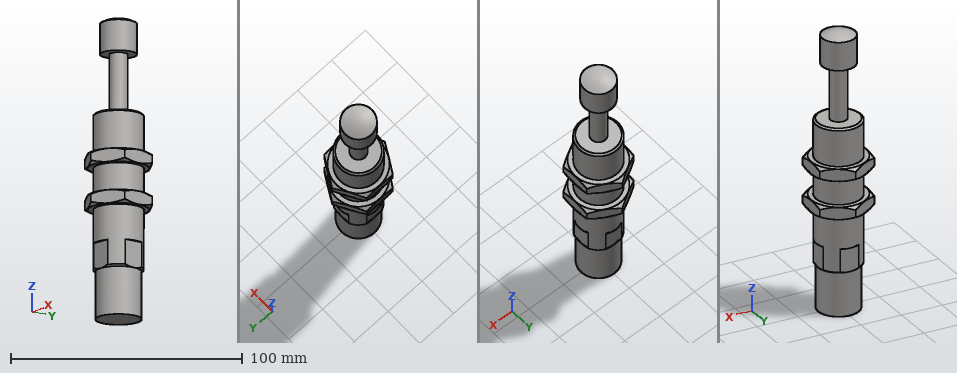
import cadquery as cq
import math

total_height = 133.5
sleeve_diameter = 20.0
barrel_diameter = 22.0
barrel_bottom = 21.2
barrel_top = 91.0
barrel_end_diameter = 20.0
barrel_chamfer_height = 0.8
rod_diameter = 8.0
cap_diameter = 16.0
cap_bottom = 117.7
dome_height = 2.1

flat_across = 20.0
flat_top = 33.1

nut_across_flats = 27.0
nut_height = 6.0
nut_face_diameter = 26.7
nut_corner_angle = 30.0
nut_chamfer_angle = 30.0
nut_bottoms = [48.6, 67.0]


def make_profile():
    """Revolved outline of the absorber, in the XZ plane."""
    barrel_radius = barrel_diameter / 2
    barrel_end_radius = barrel_end_diameter / 2
    sleeve_radius = sleeve_diameter / 2
    rod_radius = rod_diameter / 2
    cap_radius = cap_diameter / 2
    dome_bottom = total_height - dome_height
    dome_radius = (cap_radius**2 + dome_height**2) / (2 * dome_height)
    dome_mid_x = cap_radius / 2
    dome_mid_z = total_height - dome_radius + math.sqrt(dome_radius**2 - dome_mid_x**2)
    return (
        cq.Workplane("XZ")
        .lineTo(sleeve_radius, 0)
        .lineTo(sleeve_radius, barrel_bottom)
        .lineTo(barrel_radius, barrel_bottom + barrel_chamfer_height)
        .lineTo(barrel_radius, barrel_top - barrel_chamfer_height)
        .lineTo(barrel_end_radius, barrel_top)
        .lineTo(rod_radius, barrel_top)
        .lineTo(rod_radius, cap_bottom)
        .lineTo(cap_radius, cap_bottom)
        .lineTo(cap_radius, dome_bottom)
        .threePointArc((dome_mid_x, dome_mid_z), (0, total_height))
        .close()
    )


def make_absorber():
    """Turned body, trimmed to a square across the wrench flats."""
    turned = make_profile().revolve(360, (0, 0, 0), (0, 1, 0))
    flat_trim = (
        cq.Workplane("XY")
        .workplane(offset=barrel_bottom)
        .rect(2 * barrel_diameter, 2 * barrel_diameter)
        .rect(flat_across, flat_across)
        .extrude(flat_top - barrel_bottom)
    )
    return turned.cut(flat_trim)


def make_nut(bottom):
    """Hexagonal nut with both faces chamfered by a cone; corners point along Y."""
    corner_diameter = nut_across_flats / math.cos(math.radians(nut_corner_angle))
    corner_radius = corner_diameter / 2
    face_radius = nut_face_diameter / 2
    chamfer_drop = (corner_radius - face_radius) * math.tan(math.radians(nut_chamfer_angle))
    hexagon = (
        cq.Workplane("XY")
        .polygon(6, corner_diameter)
        .extrude(nut_height)
        .rotate((0, 0, 0), (0, 0, 1), nut_corner_angle)
    )
    chamfer_envelope = (
        cq.Workplane("XZ")
        .lineTo(face_radius, 0)
        .lineTo(corner_radius, chamfer_drop)
        .lineTo(corner_radius, nut_height - chamfer_drop)
        .lineTo(face_radius, nut_height)
        .lineTo(0, nut_height)
        .close()
        .revolve(360, (0, 0, 0), (0, 1, 0))
    )
    bore = cq.Workplane("XY").circle(barrel_diameter / 2).extrude(nut_height)
    return hexagon.intersect(chamfer_envelope).cut(bore).translate((0, 0, bottom))


absorber = make_absorber()
nuts = [make_nut(bottom) for bottom in nut_bottoms]

result = cq.Compound.makeCompound([absorber.val(), *[nut.val() for nut in nuts]])